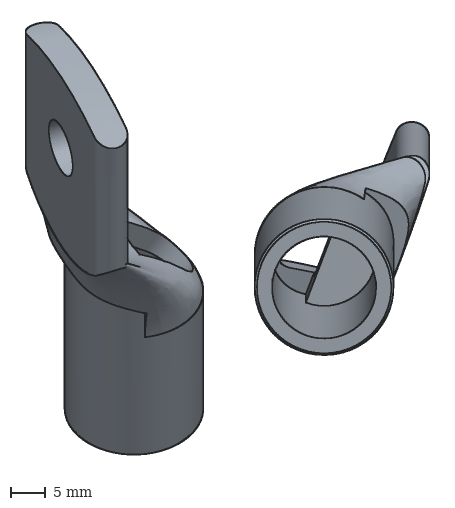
import cadquery as cq
import math

total_height = 69.0
barrel_radius = 10.0
bore_radius = 15.0 / 2
barrel_edge_chamfer = 0.35

palm_width = 29.0
palm_thickness = 5.0
palm_front_y = -11.5
palm_center_y = palm_front_y + palm_thickness / 2
palm_edge_radius = palm_thickness / 2
palm_base_z = 36.1
palm_base_arc_radius = 19.45
palm_crown_drop = 2.75
bolt_hole_diameter = 8.5
bolt_hole_z = 55.05

shoulder_back_z = 23.05
shoulder_front_z = 32.5
shoulder_step_y = -2.55
shoulder_step_z = 28.15
blend_rise = 0.4
lip_fullness = 0.7

blend_inset = 0.035
blend_overlap = 0.7

bore_roof_back_z = 23.05
bore_roof_middle_z = 29.0

window_width = 8.15
window_length = 12.75
window_upper_y = -1.05
window_upper_z = 33.8
window_depth = 5.2
window_tilt = 40.0
window_clearance = 4.15

ring_points = 24
ring_count = 6
sewing_tolerance = 0.001


def base_arc_z(x):
    """Height of the arched lower end of the palm at a given X."""
    return palm_base_z + palm_base_arc_radius - math.sqrt(palm_base_arc_radius**2 - x**2)


def blend_point(angle, t):
    """Point on a curve from the barrel shoulder (t = 0) to the palm base (t = 1)."""
    bottom_radius = barrel_radius - blend_inset
    bottom_x = bottom_radius * math.cos(angle)
    bottom_y = bottom_radius * math.sin(angle)
    frontness = max(-math.sin(angle), 0)
    bottom_z = shoulder_back_z - blend_overlap
    bottom = cq.Vector(bottom_x, bottom_y, bottom_z)

    edge_radius = palm_edge_radius - blend_inset
    top_x = (palm_width / 2 - blend_inset) * math.cos(angle)
    past_flat = max(abs(top_x) - (palm_width / 2 - palm_edge_radius), 0)
    half_depth = math.sqrt(max(edge_radius**2 - past_flat**2, 0))
    top_y = palm_center_y + math.copysign(half_depth, math.sin(angle))
    top = cq.Vector(top_x, top_y, base_arc_z(top_x) + blend_overlap)

    control_y = bottom.y + lip_fullness * frontness**2 * (top.y - bottom.y)
    control_z = bottom.z + blend_rise * (top.z - bottom.z)
    control = cq.Vector(bottom.x, control_y, control_z)
    return bottom * (1 - t) ** 2 + control * (2 * t * (1 - t)) + top * t**2


def half_ring(side, t):
    """Back (side = 1) or front (side = -1) half of a blend section, from +X to -X."""
    step = side * math.pi / ring_points
    points = [blend_point(i * step, t) for i in range(ring_points + 1)]
    return cq.Edge.makeSpline(points)


def make_transition():
    fractions = [i / (ring_count - 1) for i in range(ring_count)]
    back = [half_ring(1, t) for t in fractions]
    front = [half_ring(-1, t) for t in fractions]
    rings = [cq.Wire.assembleEdges([b, f]) for b, f in zip(back, front)]
    sides = cq.occ_impl.shapes.loft(*rings, cap=False)
    caps = [cq.Face.makeRuledSurface(back[i], front[i]) for i in (0, -1)]
    shell = cq.occ_impl.shapes.shell(*sides.Faces(), *caps, tol=sewing_tolerance)
    blend = cq.Workplane(cq.occ_impl.shapes.solid(shell))

    rise_per_y = (shoulder_front_z - shoulder_step_z) / (barrel_radius + shoulder_step_y)
    trim_y = palm_front_y - blend_overlap
    below_shoulder = (
        cq.Workplane("YZ")
        .moveTo(shoulder_step_y, 0)
        .lineTo(shoulder_step_y, shoulder_step_z)
        .lineTo(trim_y, shoulder_step_z + rise_per_y * (shoulder_step_y - trim_y))
        .lineTo(trim_y, 0)
        .close()
        .extrude(palm_width, both=True)
    )
    return blend.cut(below_shoulder)


def make_barrel():
    barrel = cq.Workplane().circle(barrel_radius).extrude(total_height)
    barrel = barrel.faces("<Z").chamfer(barrel_edge_chamfer)
    envelope = (
        cq.Workplane("YZ")
        .moveTo(-barrel_radius, 0)
        .lineTo(barrel_radius, 0)
        .lineTo(barrel_radius, shoulder_back_z)
        .lineTo(shoulder_step_y, shoulder_back_z)
        .lineTo(shoulder_step_y, shoulder_step_z)
        .lineTo(-barrel_radius, shoulder_front_z)
        .close()
        .extrude(barrel_radius, both=True)
    )
    return barrel.intersect(envelope)


def make_palm():
    half_width = palm_width / 2
    side_base_z = base_arc_z(half_width)
    side_top_z = total_height - palm_crown_drop
    outline = (
        cq.Workplane("XZ", origin=(0, palm_front_y, 0))
        .moveTo(-half_width, side_base_z)
        .threePointArc((0, palm_base_z), (half_width, side_base_z))
        .lineTo(half_width, side_top_z)
        .threePointArc((0, total_height), (-half_width, side_top_z))
        .close()
        .extrude(-palm_thickness)
    )
    rounded_bar = (
        cq.Workplane(origin=(0, palm_center_y, 0))
        .slot2D(palm_width, palm_thickness)
        .extrude(total_height)
    )
    bolt_hole = (
        cq.Workplane("XZ", origin=(0, palm_front_y, 0))
        .center(0, bolt_hole_z)
        .circle(bolt_hole_diameter / 2)
        .extrude(-palm_thickness)
    )
    return outline.intersect(rounded_bar).cut(bolt_hole)


def make_bore():
    bore = cq.Workplane().circle(bore_radius).extrude(shoulder_back_z)
    roof_outline = (
        cq.Workplane("YZ")
        .lineTo(bore_radius, 0)
        .lineTo(bore_radius, bore_roof_back_z)
        .lineTo(0, bore_roof_middle_z)
        .close()
        .extrude(bore_radius, both=True)
    )
    upper_bore = cq.Workplane().circle(bore_radius).extrude(bore_roof_middle_z)
    return bore.union(upper_bore.intersect(roof_outline))


def make_window():
    """Slot with one round end, at the lower end of the sloping back."""
    tilt = math.radians(window_tilt)
    down_slope = cq.Vector(0, math.cos(tilt), -math.sin(tilt))
    outward = cq.Vector(0, math.sin(tilt), math.cos(tilt))
    upper_end = cq.Vector(0, window_upper_y, window_upper_z)
    plane = cq.Plane(upper_end - outward * window_depth, xDir=down_slope, normal=outward)
    half = window_width / 2
    straight = window_length - half
    return (
        cq.Workplane(plane)
        .moveTo(0, -half)
        .lineTo(straight, -half)
        .threePointArc((window_length, 0), (straight, half))
        .lineTo(0, half)
        .close()
        .extrude(window_depth + window_clearance)
    )


body = make_barrel().union(make_transition()).union(make_palm())
result = body.cut(make_bore()).cut(make_window())